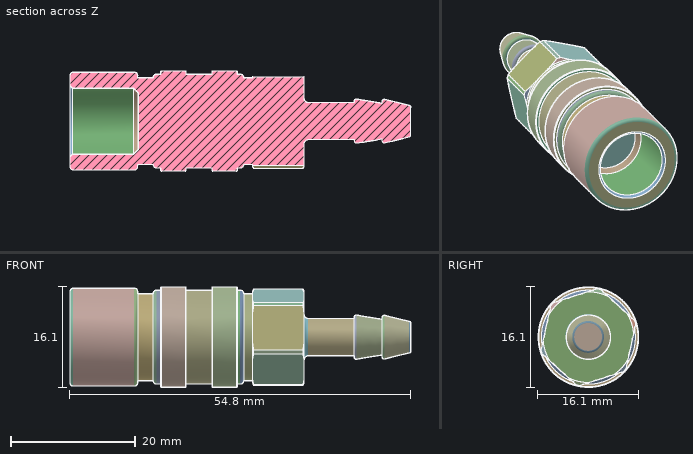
import cadquery as cq
import math


total_length = 54.8
sleeve_end = 10.9
body_start = 13.35
ring_length = 4.1
ring_starts = (14.6, 22.8)
body_end = 27.95
hex_start = 29.3
hex_end = 37.65
barb_starts = (45.65, 50.15)

sleeve_diameter = 15.8
neck_diameter = 14.0
body_diameter = 15.1
ring_diameter = 16.15
stem_diameter = 6.0
barb_diameter = 7.3
barb_small_diameters = (5.8, 5.0)

sleeve_fillet = 0.55
body_fillet = 0.55
ring_chamfer = 0.1
stem_fillet = 0.65
barb_crest_fillet = 0.4
tip_fillet = 0.35

hex_sides = 6
hex_across_flats = 13.95
hex_corner_diameter = 15.8
hex_corner_angle = 17.7
hex_apex_radius = hex_across_flats / 2 / math.cos(math.pi / hex_sides)
hex_chamfer_length = 0.2
hex_chamfer_depth = 0.6

socket_diameter = 10.6
socket_mouth_diameter = 11.4
socket_floor_diameter = 9.1
socket_depth = 10.95


def cylinder(start, end, diameter):
    """Cylinder along X between two stations."""
    return cq.Workplane("YZ", origin=(start, 0, 0)).circle(diameter / 2).extrude(end - start)


def turned(points):
    """Solid of revolution about X from (station, radius) points that start and end on the axis."""
    return cq.Workplane("XY").polyline(points).close().revolve(360, (0, 0, 0), (1, 0, 0))


def make_hexagon():
    """Hexagon with turned-down corners and conical end chamfers."""
    corner_radius = hex_corner_diameter / 2
    face_radius = corner_radius - hex_chamfer_depth
    envelope = turned([
        (hex_start, 0),
        (hex_start, face_radius),
        (hex_start + hex_chamfer_length, corner_radius),
        (hex_end - hex_chamfer_length, corner_radius),
        (hex_end, face_radius),
        (hex_end, 0),
    ])
    corners = []
    for index in range(hex_sides):
        angle = math.radians(hex_corner_angle + index * 360 / hex_sides)
        corners.append((hex_apex_radius * math.cos(angle), hex_apex_radius * math.sin(angle)))
    prism = (
        cq.Workplane("YZ", origin=(hex_start, 0, 0))
        .polyline(corners)
        .close()
        .extrude(hex_end - hex_start)
    )
    return prism.intersect(envelope)


def make_barb(start, end, small_diameter):
    """Hose barb: a cone that tapers toward the hose end, with a rounded crest."""
    cone = turned([
        (start, 0),
        (start, barb_diameter / 2),
        (end, small_diameter / 2),
        (end, 0),
    ])
    return cone.faces("<X").edges().fillet(barb_crest_fillet)


def make_stem_fillet():
    """Concave fillet between the hexagon and the hose stem."""
    stem_radius = stem_diameter / 2
    foot_radius = stem_radius + stem_fillet
    return (
        cq.Workplane("XY")
        .moveTo(hex_end, 0)
        .lineTo(hex_end, foot_radius)
        .radiusArc((hex_end + stem_fillet, stem_radius), -stem_fillet)
        .lineTo(hex_end + stem_fillet, 0)
        .close()
        .revolve(360, (0, 0, 0), (1, 0, 0))
    )


def make_socket():
    """Blind socket with a chamfered mouth and a conical bottom."""
    mouth_chamfer = (socket_mouth_diameter - socket_diameter) / 2
    bottom_taper = (socket_diameter - socket_floor_diameter) / 2
    return turned([
        (0, 0),
        (0, socket_mouth_diameter / 2),
        (mouth_chamfer, socket_diameter / 2),
        (socket_depth - bottom_taper, socket_diameter / 2),
        (socket_depth, socket_floor_diameter / 2),
        (socket_depth, 0),
    ])


result = cylinder(0, sleeve_end, sleeve_diameter).edges().fillet(sleeve_fillet)
result = result.union(cylinder(sleeve_end, hex_start, neck_diameter))
result = result.union(cylinder(body_start, body_end, body_diameter).edges().fillet(body_fillet))
for ring_start in ring_starts:
    ring = cylinder(ring_start, ring_start + ring_length, ring_diameter)
    result = result.union(ring.edges().chamfer(ring_chamfer))

result = result.union(make_hexagon())
result = result.union(make_stem_fillet())
result = result.union(cylinder(hex_end, barb_starts[0], stem_diameter))

first_barb = make_barb(barb_starts[0], barb_starts[1], barb_small_diameters[0])
last_barb = make_barb(barb_starts[1], total_length, barb_small_diameters[1])
result = result.union(first_barb).union(last_barb.faces(">X").edges().fillet(tip_fillet))

result = result.cut(make_socket())